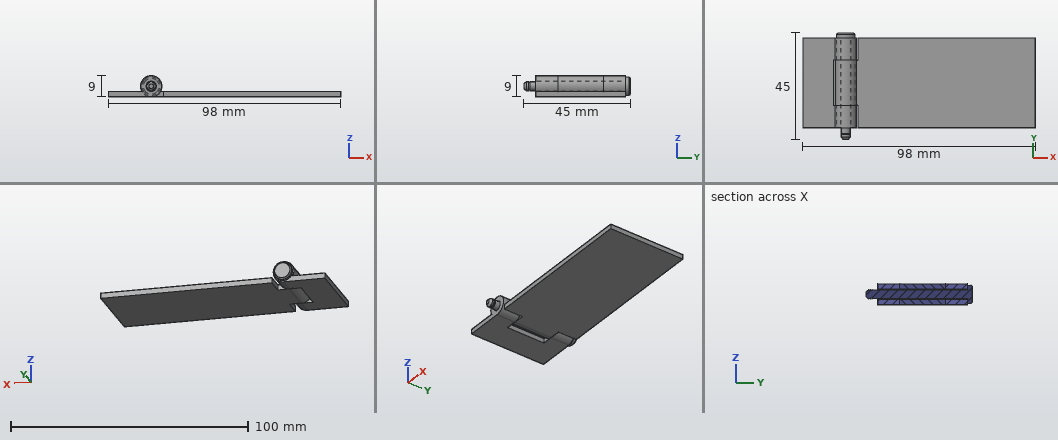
import cadquery as cq

TOTAL_LENGTH = 98.0
LEAF_WIDTH = 37.9
LEAF_THICKNESS = 2.4
AXIS_X = 18.0
BARREL_RADIUS = 4.5
AXIS_Z = BARREL_RADIUS
MIDDLE_KNUCKLE_WIDTH = 19.1
KNUCKLE_CLEARANCE = 0.6
RELIEF_RADIUS = BARREL_RADIUS + KNUCKLE_CLEARANCE

PIN_RADIUS = 2.0
BORE_CLEARANCE = 0.2
HEAD_RADIUS = 3.9
HEAD_HEIGHT = 2.1
HEAD_CHAMFER = 0.6
TAIL_LENGTH = 5.0
GROOVE_START = 2.4
GROOVE_WIDTH = 0.6
GROOVE_DEPTH = 0.3
TIP_LENGTH = 1.1
TIP_RADIUS = 1.0

FRONT_Y = -LEAF_WIDTH / 2
BACK_Y = LEAF_WIDTH / 2
MIDDLE_FRONT_Y = -MIDDLE_KNUCKLE_WIDTH / 2
MIDDLE_BACK_Y = MIDDLE_KNUCKLE_WIDTH / 2


def plate(x_start, x_end, y_start, y_end):
    """Flat leaf stock between the given X and Y limits."""
    return cq.Workplane("XY").box(
        x_end - x_start, y_end - y_start, LEAF_THICKNESS, centered=False
    ).translate((x_start, y_start, 0))


def axis_cylinder(radius, y_start, y_end):
    """Cylinder on the hinge axis."""
    return (
        cq.Workplane("XZ", origin=(AXIS_X, y_start, AXIS_Z))
        .circle(radius)
        .extrude(y_start - y_end)
    )


def knuckle(plate_edge_x, y_start, y_end):
    """Barrel length with a tangent strip that joins it to its leaf."""
    x_start, x_end = sorted((plate_edge_x, AXIS_X))
    strip = plate(x_start, x_end, y_start, y_end)
    return strip.union(axis_cylinder(BARREL_RADIUS, y_start, y_end))


def pin_bore():
    return axis_cylinder(PIN_RADIUS + BORE_CLEARANCE, FRONT_Y, BACK_Y)


def make_short_leaf():
    """Leaf on the -X side, carrying the two end knuckles."""
    edge_x = AXIS_X - RELIEF_RADIUS
    leaf = plate(0, edge_x, FRONT_Y, BACK_Y)
    for y_start, y_end in ((FRONT_Y, MIDDLE_FRONT_Y), (MIDDLE_BACK_Y, BACK_Y)):
        leaf = leaf.union(knuckle(edge_x, y_start, y_end))
    return leaf.cut(pin_bore())


def make_long_leaf():
    """Leaf on the +X side, carrying the middle knuckle."""
    edge_x = AXIS_X + RELIEF_RADIUS
    leaf = plate(edge_x, TOTAL_LENGTH, FRONT_Y, BACK_Y)
    leaf = leaf.union(knuckle(edge_x, MIDDLE_FRONT_Y, MIDDLE_BACK_Y))
    return leaf.cut(pin_bore())


def make_pin():
    """Headed pin with a retaining groove and a tapered tip."""
    tip_y = FRONT_Y - TAIL_LENGTH
    shank = axis_cylinder(PIN_RADIUS, tip_y + TIP_LENGTH, BACK_Y)
    tip = (
        cq.Workplane("XZ", origin=(AXIS_X, tip_y + TIP_LENGTH, AXIS_Z))
        .circle(PIN_RADIUS)
        .workplane(offset=TIP_LENGTH)
        .circle(TIP_RADIUS)
        .loft()
    )
    head = (
        axis_cylinder(HEAD_RADIUS, BACK_Y, BACK_Y + HEAD_HEIGHT)
        .faces(">Y")
        .chamfer(HEAD_CHAMFER)
    )
    groove_back_y = FRONT_Y - GROOVE_START
    groove_front_y = groove_back_y - GROOVE_WIDTH
    groove = axis_cylinder(PIN_RADIUS, groove_front_y, groove_back_y).cut(
        axis_cylinder(PIN_RADIUS - GROOVE_DEPTH, groove_front_y, groove_back_y)
    )
    return shank.union(tip).union(head).cut(groove)


short_leaf = make_short_leaf()
long_leaf = make_long_leaf()
pin = make_pin()

result = cq.Compound.makeCompound([short_leaf.val(), long_leaf.val(), pin.val()])